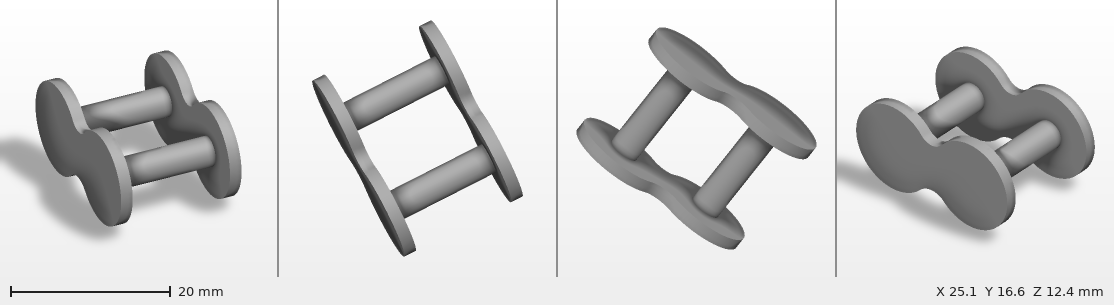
import cadquery as cq
import math

pitch = 12.70
overall_length = 25.07
overall_height = 12.45
overall_width = 16.65
plate_thickness = 1.60
pin_diameter = 3.96
upper_neck_radius = 2.15
lower_neck_radius = 2.75

lobe_radius = (overall_length - pitch) / 2
lobe_offset = overall_height - 2 * lobe_radius
inner_gap = overall_width - 2 * plate_thickness

left_center = cq.Vector(-pitch / 2, lobe_offset / 2)
right_center = cq.Vector(pitch / 2, -lobe_offset / 2)
half_spacing = (right_center - left_center).Length / 2
link_normal = cq.Vector(lobe_offset, pitch).normalized()


def flat(point):
    """Coordinates of a point in the plate plane: X first, then Z."""
    return point.x, point.y


def neck_points(neck_radius, side):
    """Left tangent, middle and right tangent points of one neck arc (side: +1 upper, -1 lower)."""
    reach = lobe_radius + neck_radius
    center_height = math.sqrt(reach**2 - half_spacing**2)
    neck_center = link_normal * (side * center_height)
    middle = link_normal * (side * (center_height - neck_radius))

    def tangent_point(lobe_center):
        return lobe_center + (neck_center - lobe_center) * (lobe_radius / reach)

    return tangent_point(left_center), middle, tangent_point(right_center)


def link_plate(outer_y):
    """Figure-eight plate extending from outer_y toward +Y."""
    upper_left, upper_middle, upper_right = neck_points(upper_neck_radius, 1)
    lower_left, lower_middle, lower_right = neck_points(lower_neck_radius, -1)
    right_end = right_center + cq.Vector(lobe_radius, 0)
    left_end = left_center - cq.Vector(lobe_radius, 0)
    outline = (
        cq.Workplane("XZ", origin=(0, outer_y, 0))
        .moveTo(*flat(upper_left))
        .threePointArc(flat(upper_middle), flat(upper_right))
        .threePointArc(flat(right_end), flat(lower_right))
        .threePointArc(flat(lower_middle), flat(lower_left))
        .threePointArc(flat(left_end), flat(upper_left))
        .close()
    )
    return outline.extrude(-plate_thickness)


def pin(center):
    """Round pin bridging the plates, on a lobe center."""
    return (
        cq.Workplane("XZ", origin=(0, -inner_gap / 2, 0))
        .center(*flat(center))
        .circle(pin_diameter / 2)
        .extrude(-inner_gap)
    )


result = link_plate(-overall_width / 2).union(link_plate(inner_gap / 2))
for lobe_center in (left_center, right_center):
    result = result.union(pin(lobe_center))